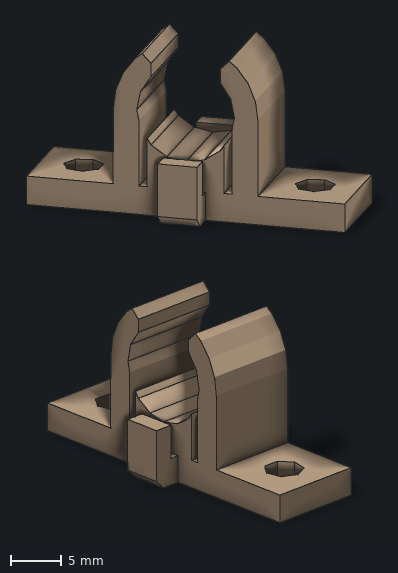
import cadquery as cq
import math

base_length = 33.0
base_width = 10.0
base_thickness = 3.0
hole_spacing = 24.0
hole_radius = 2.0
hole_sides = 7

seat_height = 11.0
arm_radius = 7.5
arm_sides = 24
seat_radius = 5.05
seat_sides = 16
mouth_half_width = seat_radius * math.cos(math.radians(45))
lead_in_bottom = 15.97

slot_inner = 4.0
slot_outer = 4.82

hook_width = 4.1
hook_reach = 16.0 / 2
hook_height = 6.5
hook_thickness = 2.0
hook_floor = 2.9
hook_chamfer = 1.0


def box(x_size, y_size, z_bottom, z_top):
    """Block centred on the Z axis between two heights."""
    return (
        cq.Workplane("XY")
        .workplane(offset=z_bottom)
        .rect(x_size, y_size)
        .extrude(z_top - z_bottom)
    )


def seat_prism(radius, sides):
    """Regular prism along Y on the seat axis, with one corner pointing toward +X."""
    return (
        cq.Workplane("XZ")
        .center(0, seat_height)
        .polygon(sides, 2 * radius)
        .extrude(base_width / 2, both=True)
    )


def make_base():
    base = box(base_length, base_width, 0, base_thickness)
    for x in (-hole_spacing / 2, hole_spacing / 2):
        hole = (
            cq.Workplane("XY")
            .polygon(hole_sides, 2 * hole_radius)
            .extrude(base_thickness)
            .rotate((0, 0, 0), (0, 0, 1), 180)
            .translate((x, 0, 0))
        )
        base = base.cut(hole)
    return base


def make_mouth():
    """Opening above the seat, flaring at 45 degrees to the arm tips and beyond."""
    flare_top = seat_height + arm_radius
    flare_half_width = mouth_half_width + flare_top - lead_in_bottom
    return (
        cq.Workplane("XZ")
        .moveTo(-mouth_half_width, seat_height)
        .lineTo(mouth_half_width, seat_height)
        .lineTo(mouth_half_width, lead_in_bottom)
        .lineTo(flare_half_width, flare_top)
        .lineTo(-flare_half_width, flare_top)
        .lineTo(-mouth_half_width, lead_in_bottom)
        .close()
        .extrude(base_width / 2, both=True)
    )


def make_clip():
    clip = box(2 * arm_radius, base_width, 0, seat_height)
    clip = clip.union(seat_prism(arm_radius, arm_sides))
    clip = clip.cut(seat_prism(seat_radius, seat_sides)).cut(make_mouth())
    slot = box(slot_outer - slot_inner, base_width, base_thickness, seat_height)
    slot_center = (slot_inner + slot_outer) / 2
    for x in (-slot_center, slot_center):
        clip = clip.cut(slot.translate((x, 0, 0)))
    return clip


def make_hook():
    """L-shaped hook on the +Y side, chamfered along its lower outer edge."""
    root = base_width / 2
    return (
        cq.Workplane("YZ")
        .moveTo(root, 0)
        .lineTo(hook_reach - hook_chamfer, 0)
        .lineTo(hook_reach, hook_chamfer)
        .lineTo(hook_reach, hook_height)
        .lineTo(hook_reach - hook_thickness, hook_height)
        .lineTo(hook_reach - hook_thickness, hook_floor)
        .lineTo(root, hook_floor)
        .close()
        .extrude(hook_width / 2, both=True)
    )


hook = make_hook()
result = make_base().union(make_clip()).union(hook).union(hook.mirror("XZ"))